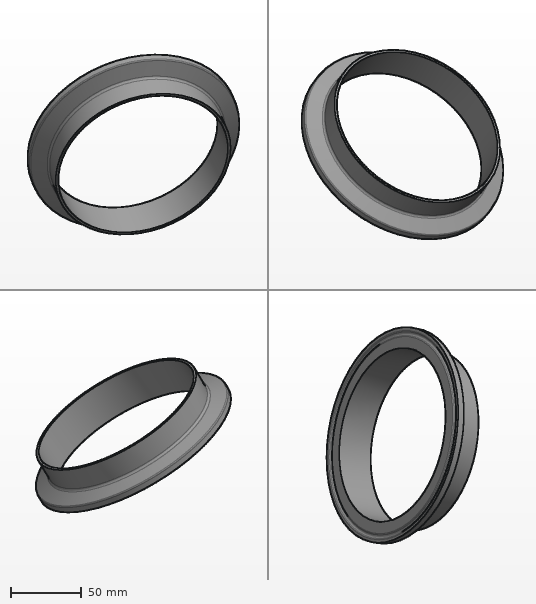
import cadquery as cq
import math

length = 28.0
flange_radius = 155 / 2
tube_radius = 129.0 / 2
bore_radius = 125.0 / 2
rim_width = 4.6
cone_angle = math.radians(20)
rim_round = 1.0
neck_fillet = 2.0

groove_radius = 73.0
groove_half_width = 2.2
groove_depth = 1.2
lip_round = 1.0


def ring_profile():
    """Half section as (x, radius), with arcs tangent to the clamping cone."""
    turn = math.pi / 2 - cone_angle

    def on_rim(angle):
        return (rim_width + rim_round * math.sin(angle),
                flange_radius - rim_round * (1 - math.cos(angle)))

    cone_start = on_rim(turn)
    cone_end_radius = tube_radius + neck_fillet * (1 - math.cos(turn))
    cone_end_x = cone_start[0] + (cone_start[1] - cone_end_radius) * math.tan(cone_angle)
    neck_end_x = cone_end_x + neck_fillet * math.sin(turn)

    def on_neck(angle):
        return (neck_end_x - neck_fillet * math.sin(angle),
                tube_radius + neck_fillet * (1 - math.cos(angle)))

    return (
        cq.Workplane("XY")
        .moveTo(0, bore_radius)
        .lineTo(0, flange_radius)
        .lineTo(rim_width, flange_radius)
        .threePointArc(on_rim(turn / 2), cone_start)
        .lineTo(*on_neck(turn))
        .threePointArc(on_neck(turn / 2), (neck_end_x, tube_radius))
        .lineTo(length, tube_radius)
        .lineTo(length, bore_radius)
        .close()
    )


def groove_profile():
    """Rounded lips running tangentially into a circular groove floor."""
    radii_sum = (groove_half_width**2 + groove_depth**2) / (2 * groove_depth)
    floor_round = radii_sum - lip_round
    turn = math.asin(groove_half_width / radii_sum)

    def on_lip(side, angle):
        offset = groove_half_width - lip_round * math.sin(angle)
        return (lip_round * (1 - math.cos(angle)), groove_radius + side * offset)

    floor_edge_depth = groove_depth - floor_round * (1 - math.cos(turn))
    floor_edge_offset = floor_round * math.sin(turn)
    return (
        cq.Workplane("XY")
        .moveTo(*on_lip(-1, 0))
        .threePointArc(on_lip(-1, turn / 2), (floor_edge_depth, groove_radius - floor_edge_offset))
        .threePointArc((groove_depth, groove_radius), (floor_edge_depth, groove_radius + floor_edge_offset))
        .threePointArc(on_lip(1, turn / 2), on_lip(1, 0))
        .close()
    )


def turned(profile):
    return profile.revolve(360, (0, 0, 0), (1, 0, 0))


result = turned(ring_profile()).cut(turned(groove_profile()))